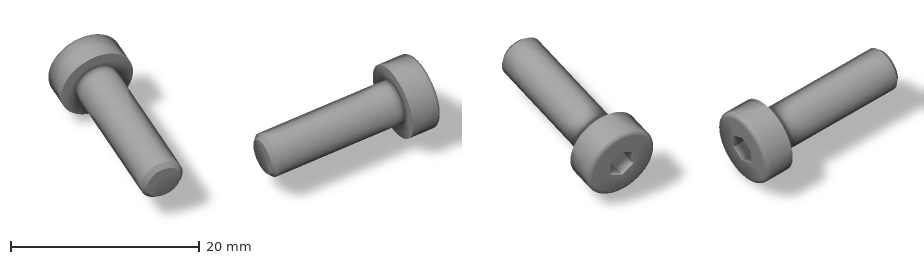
import cadquery as cq
import math

total_length = 19.5
head_diameter = 8.5
head_height = 3.5
head_edge_radius = 0.5
shank_diameter = 5.0
tip_chamfer = 0.5
neck_radius = 0.12
socket_width = 3.0
socket_depth = 2.7
socket_point_angle = 120

head_radius = head_diameter / 2
shank_radius = shank_diameter / 2
socket_corner_radius = socket_width / math.sqrt(3)
socket_cone_height = socket_corner_radius / math.tan(math.radians(socket_point_angle / 2))


def make_body():
    """Head and shank, turned from one half profile."""
    arc_offset = head_edge_radius * (1 - math.sqrt(0.5))
    neck_arc_offset = neck_radius * (1 - math.sqrt(0.5))
    return (
        cq.Workplane("XY")
        .moveTo(0, 0)
        .lineTo(0, head_radius - head_edge_radius)
        .threePointArc((arc_offset, head_radius - arc_offset), (head_edge_radius, head_radius))
        .lineTo(head_height, head_radius)
        .lineTo(head_height, shank_radius + neck_radius)
        .threePointArc(
            (head_height + neck_arc_offset, shank_radius + neck_arc_offset),
            (head_height + neck_radius, shank_radius),
        )
        .lineTo(total_length - tip_chamfer, shank_radius)
        .lineTo(total_length, shank_radius - tip_chamfer)
        .lineTo(total_length, 0)
        .close()
        .revolve(360, (0, 0, 0), (1, 0, 0))
    )


def make_socket():
    """Hexagonal socket with corners toward +Z and -Z and a conical floor."""
    full_depth = socket_depth + socket_cone_height
    corners = [
        (
            socket_corner_radius * math.sin(math.radians(60 * i)),
            socket_corner_radius * math.cos(math.radians(60 * i)),
        )
        for i in range(6)
    ]
    hexagon = cq.Workplane("YZ").polyline(corners).close().extrude(full_depth)
    pointed_drill = (
        cq.Workplane("XY")
        .polyline([
            (0, 0),
            (0, socket_corner_radius),
            (socket_depth, socket_corner_radius),
            (full_depth, 0),
        ])
        .close()
        .revolve(360, (0, 0, 0), (1, 0, 0))
    )
    return hexagon.intersect(pointed_drill)


result = make_body().cut(make_socket())